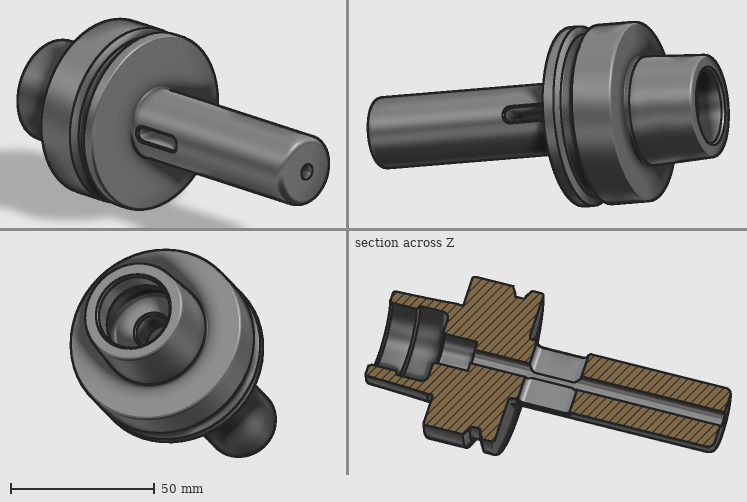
import cadquery as cq
import math

total_length = 125.0
taper_length = 25.0
flange_width = 26.0
flange_end = taper_length + flange_width

flange_radius = 31.5
flange_rounding = 1.1
groove_center = taper_length + 18.1
groove_floor_width = 3.8
groove_floor_radius = 27.6
groove_wall_radius = 28.8
groove_side_angle = math.radians(60)
groove_corner_rounding = 0.6

taper_end_radius = 19.1
taper_slope = 0.05
taper_nose_rounding = 1.1

relief_length = 2.0
relief_depth = 0.19
relief_slope = math.tan(math.radians(15))
relief_rounding = 0.6
relief_face_depth = 0.1
relief_face_radius = 20.1

mouth_radius = 13.8
mouth_chamfer_length = 1.1
lip_radius = 13.0
lip_end = 9.9
undercut_radius = 14.5
undercut_slope = math.tan(math.radians(60))
cavity_depth = 21.4
cavity_rounding = 2.5
recess_radius = 6.0
recess_depth = 12.5
recess_chamfer = 0.8
through_radius = 2.8

arbor_radius = 12.5
arbor_root_rounding = 1.1
arbor_end_rounding = 2.5
slot_start = 54.0
slot_length = 18.8
slot_width = 5.0
slot_chamfer = 0.6

selection_margin = 0.01


def revolve_about_x(profile):
    return profile.close().revolve(360, (0, 0, 0), (1, 0, 0))


def rim_at(x, radius):
    """Select the circular edge of the given radius in the plane at x."""
    low_x = x - selection_margin
    high_x = x + selection_margin

    def edges_within(reach):
        return cq.selectors.BoxSelector((low_x, -reach, -reach), (high_x, reach, reach), boundingbox=True)

    return edges_within(radius + selection_margin) - edges_within(radius - selection_margin)


def make_body():
    """Taper, flange and arbor as one turned solid."""
    relief_start = taper_length - relief_length
    relief_radius = taper_end_radius - relief_depth
    relief_face = taper_length + relief_face_depth
    nose_radius = taper_end_radius - taper_slope * relief_start

    half_floor = groove_floor_width / 2
    side_run = (flange_radius - groove_wall_radius) / math.tan(groove_side_angle)

    profile = (
        cq.Workplane("XZ")
        .polyline([
            (0, 0),
            (0, nose_radius),
            (relief_start, taper_end_radius),
            (relief_start + relief_depth / relief_slope, relief_radius),
            (relief_face, relief_radius),
            (taper_length, relief_face_radius),
            (taper_length, flange_radius),
            (groove_center - half_floor - side_run, flange_radius),
            (groove_center - half_floor, groove_wall_radius),
            (groove_center - half_floor, groove_floor_radius),
            (groove_center + half_floor, groove_floor_radius),
            (groove_center + half_floor, groove_wall_radius),
            (groove_center + half_floor + side_run, flange_radius),
            (flange_end, flange_radius),
            (flange_end, arbor_radius),
            (total_length, arbor_radius),
            (total_length, 0),
        ])
    )
    body = revolve_about_x(profile)

    roundings = [
        (0, nose_radius, taper_nose_rounding),
        (relief_face, relief_radius, relief_rounding),
        (taper_length, flange_radius, flange_rounding),
        (groove_center - half_floor, groove_floor_radius, groove_corner_rounding),
        (groove_center + half_floor, groove_floor_radius, groove_corner_rounding),
        (flange_end, flange_radius, flange_rounding),
        (flange_end, arbor_radius, arbor_root_rounding),
        (total_length, arbor_radius, arbor_end_rounding),
    ]
    for x, radius, rounding in roundings:
        body = body.edges(rim_at(x, radius)).fillet(rounding)
    return body


def make_bore():
    """Chamfered mouth, clamping undercut, recess in the cavity floor and through hole."""
    undercut_start = lip_end + (undercut_radius - lip_radius) / undercut_slope
    recess_end = cavity_depth + recess_depth
    profile = (
        cq.Workplane("XZ")
        .polyline([
            (0, 0),
            (0, mouth_radius),
            (mouth_chamfer_length, lip_radius),
            (lip_end, lip_radius),
            (undercut_start, undercut_radius),
            (cavity_depth, undercut_radius),
            (cavity_depth, recess_radius + recess_chamfer),
            (cavity_depth + recess_chamfer, recess_radius),
            (recess_end, recess_radius),
            (recess_end, through_radius),
            (total_length, through_radius),
            (total_length, 0),
        ])
    )
    bore = revolve_about_x(profile)
    return bore.edges(rim_at(cavity_depth, undercut_radius)).fillet(cavity_rounding)


def cut_slot(body):
    """Round-ended slot straight through the arbor along Y, with broken outer edges."""
    slot_center = slot_start + slot_length / 2
    slot = (
        cq.Workplane("XZ")
        .center(slot_center, 0)
        .slot2D(slot_length, slot_width)
        .extrude(2 * arbor_radius, both=True)
    )
    slotted = body.cut(slot)
    low_y = math.sqrt(arbor_radius**2 - (slot_width / 2) ** 2) - selection_margin
    high_y = arbor_radius + selection_margin
    low_x = slot_start - selection_margin
    high_x = slot_start + slot_length + selection_margin
    for near_y, far_y in ((-high_y, -low_y), (low_y, high_y)):
        mouth = cq.selectors.BoxSelector(
            (low_x, near_y, -slot_width),
            (high_x, far_y, slot_width),
            boundingbox=True,
        )
        slotted = slotted.edges(mouth).chamfer(slot_chamfer)
    return slotted


result = cut_slot(make_body().cut(make_bore()))